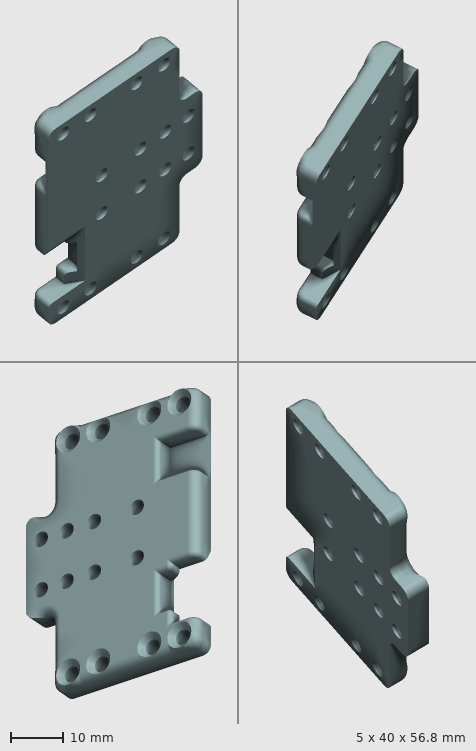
import cadquery as cq
import math


thickness = 5.0
height = 56.8
body_width = 34.0
total_width = 40.0
edge_radius = 2.0
small_radius = 1.0
margin = 0.05

tab_half_height = 11.0

hole_diameter = 3.25
sink_diameter = 5.6
sink_depth = (sink_diameter - hole_diameter) / 2
screw_end_inset = 3.0
screw_z = height / 2 - screw_end_inset
corner_screw_inset = 4.0
inner_screw_inset = 11.0
corner_screw_y = (corner_screw_inset, body_width - corner_screw_inset)
inner_screw_y = (inner_screw_inset, body_width - inner_screw_inset)
corner_screws = [(y, z) for y in corner_screw_y for z in (-screw_z, screw_z)]
inner_screws = [(y, z) for y in inner_screw_y for z in (-screw_z, screw_z)]

plain_hole_y = (13.9, 23.95, 30.4, 36.4)
plain_hole_z = 5.5
plain_holes = [(y, z) for y in plain_hole_y for z in (-plain_hole_z, plain_hole_z)]

pocket_width = 9.05
pocket_depth = 4.2
pocket_near_z = 10.2
pocket_far_z = 18.75
notch_width = 5.95
notch_top = -8.9
notch_bottom = -21.9

flare_start = 2.95
flare_top_start = 3.35
flare_angle = 60
flare_slope = math.tan(math.radians(flare_angle))


def block(x_range, y_range, z_range):
    """Box given by its limits along each axis."""
    (x0, x1), (y0, y1), (z0, z1) = x_range, y_range, z_range
    return cq.Workplane("XY").box(x1 - x0, y1 - y0, z1 - z0, centered=False).translate((x0, y0, z0))


def seat_cone(y, z):
    """Solid that fills the screw-head seat at one hole."""
    return cq.Workplane(cq.Solid.makeCone(
        sink_diameter / 2, hole_diameter / 2, sink_depth,
        pnt=cq.Vector(0, y, z), dir=cq.Vector(1, 0, 0),
    ))


def drill(part, places, countersunk):
    """Cut holes along X, optionally with conical screw-head seats."""
    for y, z in places:
        part = part.cut(cq.Workplane("YZ").center(y, z).circle(hole_diameter / 2).extrude(thickness))
        if countersunk:
            part = part.cut(seat_cone(y, z))
    return part


def rounded_body():
    """Plate with rounded corners; its front rim fillet rides around the corner screw seats."""
    plate = block((0, thickness), (0, body_width), (-height / 2, height / 2))
    plate = plate.edges("|X").fillet(edge_radius)
    for y, z in corner_screws:
        plate = plate.cut(seat_cone(y, z))
    rim = [
        edge for edge in plate.faces("<X").edges().vals()
        if edge.geomType() != "CIRCLE" or edge.radius() < sink_diameter / 2 - margin
    ]
    plate = plate.newObject(rim).fillet(edge_radius)

    for y, z in corner_screws:
        plate = plate.union(seat_cone(y, z))
    return plate.clean()


def add_tab(plate):
    """Tab with rounded corners, joined to the plate by rounded inner corners."""
    root_half_height = tab_half_height + edge_radius
    root_start = body_width - edge_radius
    bend_y = body_width + edge_radius
    tab = block((0, thickness), (root_start, total_width), (-tab_half_height, tab_half_height))
    tab = tab.edges("|X and >Y").fillet(edge_radius)
    root = block((0, thickness), (root_start, bend_y), (-root_half_height, root_half_height))
    plate = plate.union(tab.union(root))

    diagonal = edge_radius * math.sqrt(0.5)
    trumpet = (
        cq.Workplane("XZ")
        .lineTo(0, 2 * edge_radius)
        .threePointArc(
            (edge_radius - diagonal, 2 * edge_radius - diagonal),
            (edge_radius, edge_radius),
        )
        .lineTo(thickness, edge_radius)
        .lineTo(thickness, 0)
        .close()
        .revolve(axisStart=(0, 0), axisEnd=(1, 0))
    )
    for side in (-1, 1):
        plate = plate.cut(trumpet.translate((0, bend_y, side * root_half_height)))
    return plate


def cut_straight_side(plate):
    """Two pockets and the notch, with their front edges rounded."""
    for z_range in ((pocket_near_z, pocket_far_z), (-pocket_far_z, -pocket_near_z)):
        plate = plate.cut(block((0, pocket_depth), (0, pocket_width), z_range))
    plate = plate.cut(block((0, thickness), (0, notch_width), (notch_bottom, notch_top)))

    cut_outs = cq.selectors.BoxSelector(
        (-margin, edge_radius, notch_bottom - margin),
        (margin, pocket_width + margin, pocket_far_z + margin),
    )
    mouth = cq.selectors.BoxSelector(
        (margin, notch_width - margin, -pocket_far_z - margin),
        (pocket_depth, notch_width + margin, -pocket_near_z + margin),
    )
    front_edges = plate.faces("<X").edges(cut_outs).edges("%LINE").vals()
    mouth_edges = plate.edges("|X").edges(mouth).vals()
    return plate.newObject(front_edges + mouth_edges).fillet(small_radius)


def cut_flare(plate):
    """Undercut that widens the notch towards the back, inwards and upwards."""
    side_reach = flare_slope * (thickness - flare_start)
    top_reach = flare_slope * (thickness - flare_top_start)
    inward = (
        cq.Workplane("XY", origin=(0, 0, notch_bottom))
        .moveTo(flare_start, 0)
        .lineTo(flare_start, notch_width)
        .lineTo(thickness, notch_width + side_reach)
        .lineTo(thickness, 0)
        .close()
        .extrude(height / 2)
    )
    upward = (
        cq.Workplane("XZ")
        .moveTo(0, notch_bottom)
        .lineTo(0, notch_top)
        .lineTo(flare_top_start, notch_top)
        .lineTo(thickness, notch_top + top_reach)
        .lineTo(thickness, notch_bottom)
        .close()
        .extrude(-body_width)
    )
    return plate.cut(inward.intersect(upward))


body = add_tab(rounded_body())
body = cut_straight_side(body)
body = cut_flare(body)
body = drill(body, corner_screws + inner_screws, countersunk=True)
result = drill(body, plain_holes, countersunk=False)